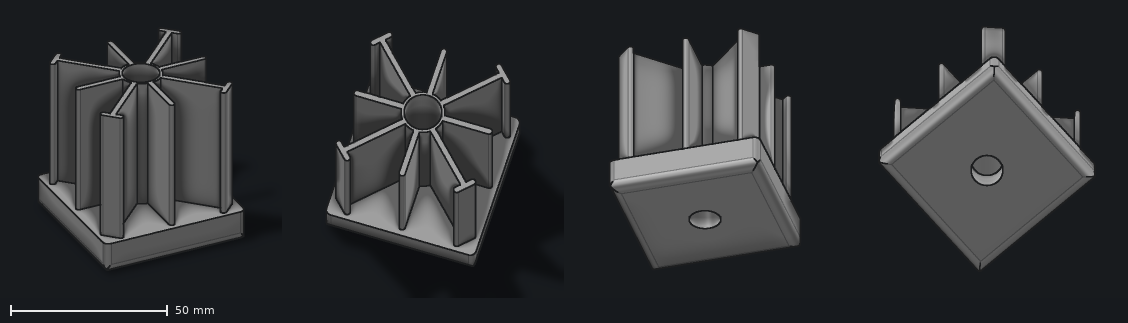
import cadquery as cq

base_side = 50.0
base_height = 10.99
base_corner_radius = 2.0
base_bottom_radius = 3.4

stem_height = 44.0
hub_diameter = 14.0
rib_thickness = 2.0
rib_reach = 23.1

head_length = 7.7
head_thickness = rib_thickness
head_outer_distance = 29.75

bore_diameter = 12.0
core_hole_diameter = 10.11

rib_count = 8
rib_pitch = 360.0 / rib_count


def base_block():
    return cq.Workplane("XY").box(base_side, base_side, base_height, centered=(True, True, False))


def make_base():
    """Square plate with mitred bottom rounding and rounded vertical corners."""
    rounded_bottom = base_block().faces("<Z").edges().fillet(base_bottom_radius)
    rounded_corners = base_block().edges("|Z").fillet(base_corner_radius)
    return rounded_bottom.intersect(rounded_corners)


def on_base():
    return cq.Workplane("XY").workplane(offset=base_height)


def make_hub():
    return on_base().circle(hub_diameter / 2).extrude(stem_height)


def make_web(length):
    """Flat rib running from the axis outward along +X."""
    return on_base().center(length / 2, 0).rect(length, rib_thickness).extrude(stem_height)


def make_straight_rib():
    """Rib along +X whose outer end is a full round."""
    tip_center = rib_reach - rib_thickness / 2
    tip = on_base().center(tip_center, 0).circle(rib_thickness / 2).extrude(stem_height)
    return make_web(tip_center).union(tip)


def make_headed_rib():
    """Rib along +X carrying a round-ended crosswise head at its tip."""
    head_center = head_outer_distance - head_thickness / 2
    head = on_base().center(head_center, 0).slot2D(head_length, head_thickness, 90).extrude(stem_height)
    return make_web(head_center).union(head)


def make_bore():
    """Core hole through the base, opening into the hub bore by a 45 degree lead-in."""
    core_radius = core_hole_diameter / 2
    bore_radius = bore_diameter / 2
    lead_in_height = bore_radius - core_radius
    lead_in_start = cq.Vector(0, 0, base_height - lead_in_height)

    core_hole = cq.Workplane("XY").circle(core_radius).extrude(base_height)
    lead_in = cq.Solid.makeCone(core_radius, bore_radius, lead_in_height, pnt=lead_in_start)
    hub_bore = on_base().circle(bore_radius).extrude(stem_height)
    return core_hole.union(cq.Workplane(lead_in)).union(hub_bore)


result = make_base().union(make_hub())
for index in range(rib_count):
    is_diagonal = index % 2 == 1
    rib = make_headed_rib() if is_diagonal else make_straight_rib()
    result = result.union(rib.rotate((0, 0, 0), (0, 0, 1), index * rib_pitch))
result = result.cut(make_bore())